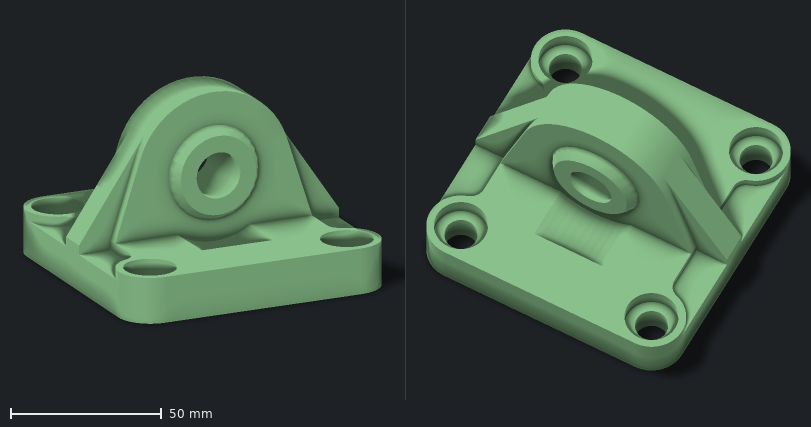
import cadquery as cq
import math

plate_side = 95.0
plate_height = 16.0
corner_radius = 11.5
hole_offset = plate_side / 2 - corner_radius
hole_diameter = 11.0
counterbore_diameter = 18.0
counterbore_depth = 6.0

step_height = 12.6
step_blend_radius = 5.0

eye_height = 64.0
eye_radius = 28.0
eye_thickness = 17.6
eye_axis_z = eye_height - eye_radius
rib_thickness = 10.2

trough_length = 54.0
trough_radius = 24.0

ball_radius = 18.6
ball_width = 25.1
ball_bore_diameter = 16.0


def make_plate():
    return (
        cq.Workplane("XY")
        .rect(plate_side, plate_side)
        .extrude(plate_height)
        .edges("|Z")
        .fillet(corner_radius)
    )


def make_edge_step():
    """Cutter for the lowered area at the +Y edge, curving around the two corner bosses."""
    centre_distance = corner_radius + step_blend_radius
    blend_dx = math.sqrt(centre_distance**2 - step_blend_radius**2)
    blend_x = hole_offset - blend_dx
    blend_y = hole_offset + step_blend_radius
    blend_angle = math.atan2(step_blend_radius, blend_dx)

    def boss_point(angle):
        return (
            hole_offset - corner_radius * math.cos(angle),
            hole_offset + corner_radius * math.sin(angle),
        )

    blend_middle = -(math.pi / 2 + blend_angle) / 2
    tangent_x, tangent_y = boss_point(blend_angle)
    boss_x, boss_y = boss_point((blend_angle + math.pi / 2) / 2)
    middle_x = blend_x + step_blend_radius * math.cos(blend_middle)
    middle_y = blend_y + step_blend_radius * math.sin(blend_middle)

    return (
        cq.Workplane("XY")
        .workplane(offset=step_height)
        .moveTo(-blend_x, hole_offset)
        .lineTo(blend_x, hole_offset)
        .threePointArc((middle_x, middle_y), (tangent_x, tangent_y))
        .threePointArc((boss_x, boss_y), (hole_offset, plate_side / 2))
        .lineTo(-hole_offset, plate_side / 2)
        .threePointArc((-boss_x, boss_y), (-tangent_x, tangent_y))
        .threePointArc((-middle_x, middle_y), (-blend_x, hole_offset))
        .close()
        .extrude(plate_height - step_height)
    )


def make_trough():
    return (
        cq.Workplane("YZ")
        .center(0, eye_axis_z)
        .circle(trough_radius)
        .extrude(trough_length / 2, both=True)
    )


def upright_flanks(foot_half_width):
    """Outline from one eye tangent point down around the foot and up to the other."""
    foot_drop = eye_axis_z - plate_height
    foot_distance = math.hypot(foot_half_width, foot_drop)
    tangent_angle = math.acos(eye_radius / foot_distance) - math.atan2(foot_drop, foot_half_width)
    tangent_y = eye_radius * math.cos(tangent_angle)
    tangent_z = eye_axis_z + eye_radius * math.sin(tangent_angle)
    return [
        (-tangent_y, tangent_z),
        (-foot_half_width, plate_height),
        (-foot_half_width, 0),
        (foot_half_width, 0),
        (foot_half_width, plate_height),
        (tangent_y, tangent_z),
    ]


def make_eye():
    flanks = upright_flanks(hole_offset)
    return (
        cq.Workplane("YZ")
        .workplane(offset=-eye_thickness / 2)
        .polyline(flanks)
        .threePointArc((0, eye_height), flanks[0])
        .close()
        .extrude(eye_thickness)
    )


def make_ribs():
    """Narrow ribs on both flanks of the eye, joined through it below its round top."""
    return (
        cq.Workplane("YZ")
        .workplane(offset=-rib_thickness / 2)
        .polyline(upright_flanks(plate_side / 2))
        .close()
        .extrude(rib_thickness)
    )


def make_ball_sphere():
    return cq.Workplane("XY").sphere(ball_radius).translate((0, 0, eye_axis_z))


def make_housing():
    step = make_edge_step()
    base = make_plate().cut(step).cut(step.mirror("XZ")).cut(make_trough())
    base = base.union(make_eye()).union(make_ribs())
    hole_spacing = 2 * hole_offset
    return (
        base.cut(make_ball_sphere())
        .copyWorkplane(cq.Workplane("XY", origin=(0, 0, plate_height)))
        .rect(hole_spacing, hole_spacing, forConstruction=True)
        .vertices()
        .cboreHole(hole_diameter, counterbore_diameter, counterbore_depth)
    )


def make_ball():
    """Sphere with two flat ends and a bore along X."""
    barrel = (
        cq.Workplane("YZ")
        .center(0, eye_axis_z)
        .circle(ball_radius)
        .circle(ball_bore_diameter / 2)
        .extrude(ball_width / 2, both=True)
    )
    return make_ball_sphere().intersect(barrel)


housing = make_housing()
ball = make_ball()
result = cq.Compound.makeCompound([housing.val(), ball.val()])